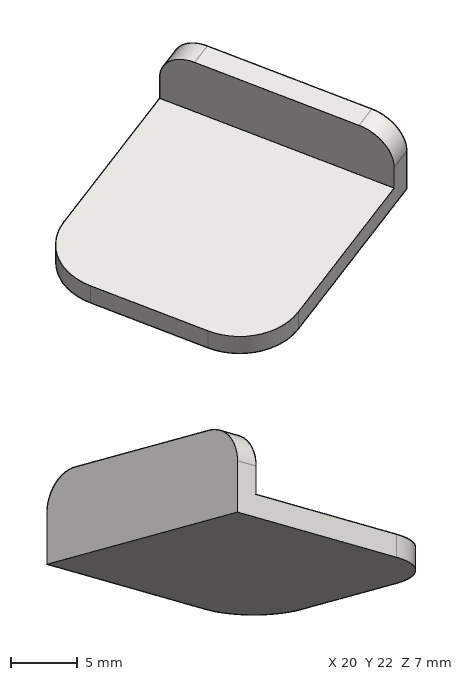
import cadquery as cq

width = 20.0
depth = 22.0
height = 7.0

plate_thickness = 1.8
wall_thickness = 2.0
plate_corner_radius = 5.0
wall_corner_radius = 3.0


def base_plate():
    """Flat plate on Z = 0 with its two front vertical corners rounded."""
    plate = cq.Workplane("XY").box(width, depth, plate_thickness, centered=(True, True, False))
    return plate.edges("|Z and <Y").fillet(plate_corner_radius)


def back_wall():
    """Upright lip along the back edge with its two top corners rounded."""
    wall = (
        cq.Workplane("XY")
        .box(width, wall_thickness, height, centered=(True, True, False))
        .edges("|Y and >Z")
        .fillet(wall_corner_radius)
    )
    return wall.translate((0, (depth - wall_thickness) / 2, 0))


result = base_plate().union(back_wall())